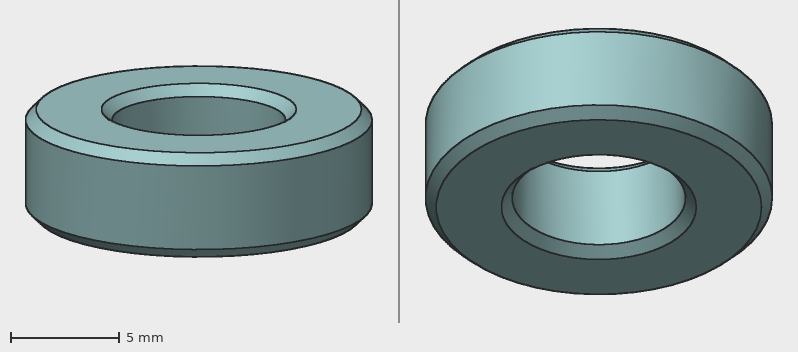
import cadquery as cq

outer_diameter = 16.0
bore_diameter = 8.0
height = 5.0
chamfer_size = 0.5

ring = (
    cq.Workplane("XY")
    .circle(outer_diameter / 2)
    .circle(bore_diameter / 2)
    .extrude(height)
)

result = ring.faces("<Z or >Z").edges().chamfer(chamfer_size)